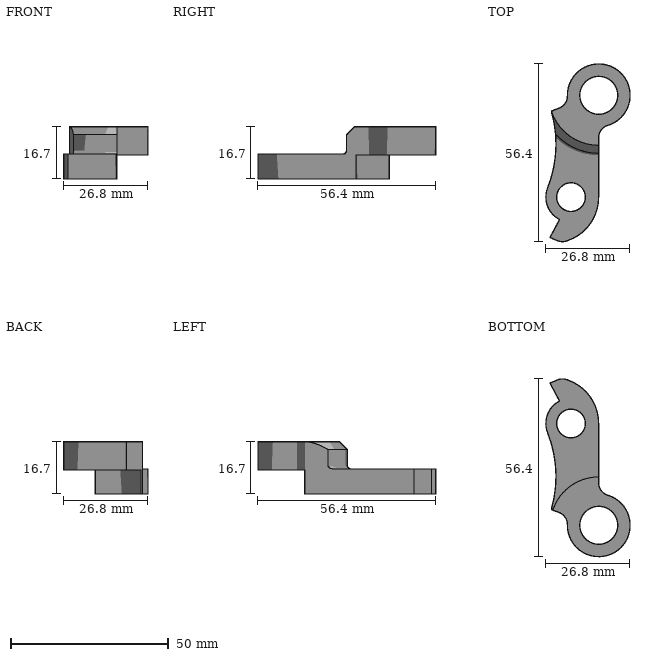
import cadquery as cq
import math


total_height = 16.65
ring_thickness = 9.0
plate_thickness = 8.0
ring_underside = total_height - ring_thickness

ring_radius = 10.0
ring_bore_radius = 6.0
neck_fillet = 4.0

step_radius = 18.4
step_chamfer = 2.55
step_fillet = 1.0
seat_radius = 15.35
turned_radius = 56.4

lobe_x, lobe_y = -8.8, -32.25
lobe_radius = 8.0
lobe_bore_radius = 4.5

waist_radius = 37.2
waist_y = -15.5
shoulder_x, shoulder_y = -14.6, -4.8
shoulder_end_y = -5.35
shoulder_bulge = 0.085
neck_start_y = -0.3
neck_angle = math.radians(-70)

notch_x = -12.45
claw_tip = (-15.5, -45.05)
claw_round_start = (-13.2, -46.05)
claw_bottom = (-11.6, -46.4)
claw_round_end = (-10.0, -46.1)


def on_circle(center, radius, angle):
    return (center[0] + radius * math.cos(angle), center[1] + radius * math.sin(angle))


def angle_between(start, end):
    return math.atan2(end[1] - start[1], end[0] - start[0])


def outline():
    lobe = (lobe_x, lobe_y)

    left_neck = (-ring_radius - neck_fillet, neck_start_y)
    left_neck_mid = on_circle(left_neck, neck_fillet, neck_angle / 2)
    left_neck_end = on_circle(left_neck, neck_fillet, neck_angle)

    center_distance = waist_radius + lobe_radius
    waist_rise = waist_y - lobe_y
    waist = (lobe_x - math.sqrt(center_distance**2 - waist_rise**2), waist_y)
    waist_start_angle = math.asin((shoulder_end_y - waist_y) / waist_radius)
    waist_start = on_circle(waist, waist_radius, waist_start_angle)
    waist_mid = on_circle(waist, waist_radius, 0)
    waist_end = on_circle(waist, waist_radius, angle_between(waist, lobe))

    shoulder_mid = (
        (shoulder_x + waist_start[0]) / 2 - shoulder_bulge,
        (shoulder_y + shoulder_end_y) / 2 + shoulder_bulge,
    )

    notch_y = lobe_y - math.sqrt(lobe_radius**2 - (notch_x - lobe_x) ** 2)

    back_dx = -claw_round_end[0]
    back_dy = lobe_y - claw_round_end[1]
    back_radius = (back_dx**2 + back_dy**2) / (2 * back_dx)
    back = (-back_radius, lobe_y)
    back_mid = on_circle(back, back_radius, angle_between(back, claw_round_end) / 2)

    right_neck = (neck_fillet, -math.sqrt((ring_radius + neck_fillet) ** 2 - neck_fillet**2))
    to_ring = angle_between(right_neck, (0, 0))
    right_neck_mid = on_circle(right_neck, neck_fillet, (math.pi + to_ring) / 2)
    right_neck_end = on_circle(right_neck, neck_fillet, to_ring)
    ring_far = on_circle((0, 0), ring_radius, math.pi / 4)

    return (
        cq.Workplane("XY")
        .moveTo(-ring_radius, 0)
        .lineTo(-ring_radius, neck_start_y)
        .threePointArc(left_neck_mid, left_neck_end)
        .lineTo(shoulder_x, shoulder_y)
        .threePointArc(shoulder_mid, waist_start)
        .threePointArc(waist_mid, waist_end)
        .threePointArc((lobe_x - lobe_radius, lobe_y), (notch_x, notch_y))
        .lineTo(*claw_tip)
        .lineTo(*claw_round_start)
        .threePointArc(claw_bottom, claw_round_end)
        .threePointArc(back_mid, (0, lobe_y))
        .lineTo(0, right_neck[1])
        .threePointArc(right_neck_mid, right_neck_end)
        .threePointArc(ring_far, (-ring_radius, 0))
        .close()
    )


def turned_step():
    """Seat below the ring, chamfered step above it and the flat arm, as one revolved body."""
    fillet_center = (step_radius + step_fillet, plate_thickness + step_fillet)
    fillet_mid = on_circle(fillet_center, step_fillet, math.radians(225))
    return (
        cq.Workplane("XZ")
        .moveTo(0, ring_underside)
        .lineTo(seat_radius, ring_underside)
        .lineTo(seat_radius, 0)
        .lineTo(turned_radius, 0)
        .lineTo(turned_radius, plate_thickness)
        .lineTo(fillet_center[0], plate_thickness)
        .threePointArc(fillet_mid, (step_radius, fillet_center[1]))
        .lineTo(step_radius, total_height - step_chamfer)
        .lineTo(step_radius - step_chamfer, total_height)
        .lineTo(0, total_height)
        .close()
        .revolve(360, (0, 0, 0), (0, 1, 0))
    )


def bore(x, y, radius):
    return cq.Workplane("XY").center(x, y).circle(radius).extrude(total_height)


result = (
    outline()
    .extrude(total_height)
    .intersect(turned_step())
    .cut(bore(0, 0, ring_bore_radius))
    .cut(bore(lobe_x, lobe_y, lobe_bore_radius))
)